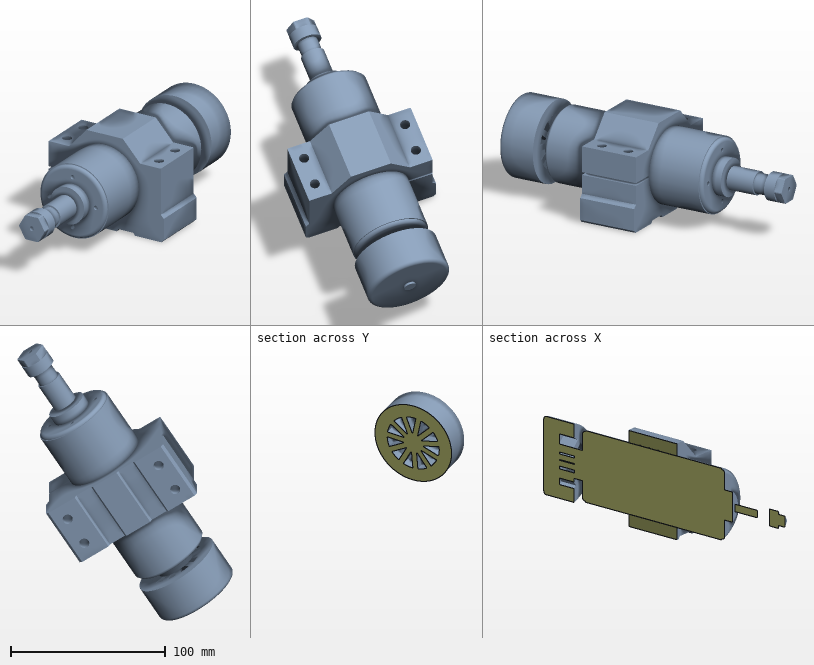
import cadquery as cq
import math


housing_diameter = 52.0
housing_front = 50.4
housing_length = 119.0
housing_back = housing_front + housing_length
end_lip_diameter = 50.5
end_fillet = 2.5
face_hole_diameter = 3.0
face_hole_depth = 6.0
face_hole_count = 4
face_hole_circle_radius = 17.7
collar_diameter = 26.0
collar_length = 6.7

head_diameter = 19.3
hex_across_flats = 17.0
hex_corner_diameter = hex_across_flats / math.cos(math.pi / 6)
hex_length = 5.5
head_length = 7.7
neck_diameter = 13.8
neck_back = 22.7
barrel_diameter = 16.0
barrel_back = 42.2
relief_diameter = 9.5
nose_hole_diameter = 3.0
nose_hole_depth = 6.0

overall_length = 203.0
pulley_diameter = 56.5
pulley_front = housing_back + collar_length
pulley_fillet = 2.5
stub_diameter = 8.0
stub_length = 1.5
pulley_back = overall_length - stub_length
spoke_count = 11
spoke_width = 4.0
pocket_circle_diameter = 37.8
pocket_depth = 12.2
first_pocket_angle = 94.8

block_length = 40.6
block_front = 90.0
block_height = 66.5
block_top = block_height / 2
block_bottom = -block_height / 2
base_half_width = 90.0 / 2
upper_half_width = 42.6
crown_half_width = 13.8
crown_foot_half_width = 27.0
shoulder_height = 18.7
base_edge_height = -16.2
base_ledge = base_half_width - upper_half_width
bottom_chamfer = 1.8
slit_width = 1.8
bolt_hole_diameter = 6.5
bolt_spacing_x = 69.9
bolt_spacing_y = 20.0
groove_center = 16.0
groove_mouth_width = 13.8
groove_floor_width = 11.4
groove_depth = 1.8


def disc(diameter, y_start, y_end):
    """Cylinder on the Y axis between two stations."""
    face_plane = cq.Workplane("XZ", origin=(0, y_start, 0))
    return face_plane.circle(diameter / 2).extrude(y_start - y_end)


def make_housing():
    """Round housing with a small step and a fillet at each end, and a collar beyond each end."""
    lip = disc(end_lip_diameter, housing_front, housing_back)
    lip = lip.faces("<Y or >Y").edges().fillet(end_fillet)
    barrel = disc(housing_diameter, housing_front + end_fillet, housing_back - end_fillet)
    collars = disc(collar_diameter, housing_front - collar_length, pulley_front)
    face_holes = (
        cq.Workplane("XZ", origin=(0, housing_front, 0))
        .polarArray(face_hole_circle_radius, 0, 360, face_hole_count)
        .circle(face_hole_diameter / 2)
        .extrude(-face_hole_depth)
    )
    return barrel.union(lip).union(collars).cut(face_holes)


def make_nose():
    """Stepped shaft ending in a hexagonal tip with rounded corners and a centre hole."""
    head_back = hex_length + head_length
    hexagon = cq.Workplane("XZ").polygon(6, hex_corner_diameter).extrude(-hex_length)
    hexagon = hexagon.intersect(disc(head_diameter, 0, hex_length))
    nose = hexagon.union(disc(head_diameter, hex_length, head_back))
    nose = nose.union(disc(neck_diameter, head_back, neck_back))
    nose = nose.union(disc(barrel_diameter, neck_back, barrel_back))
    nose = nose.union(disc(relief_diameter, barrel_back, housing_front))
    return nose.cut(disc(nose_hole_diameter, 0, nose_hole_depth))


def make_pulley_pocket(center_angle):
    """Wedge-shaped pocket between two straight spokes, closed outside by an arc."""

    def polar(radius, angle):
        return (radius * math.cos(angle), radius * math.sin(angle))

    outer_radius = pocket_circle_diameter / 2
    half_pitch = math.pi / spoke_count
    apex_radius = spoke_width / 2 / math.sin(half_pitch)
    half_sweep = half_pitch - math.asin(spoke_width / 2 / outer_radius)
    return (
        cq.Workplane("XZ", origin=(0, pulley_front, 0))
        .moveTo(*polar(apex_radius, center_angle))
        .lineTo(*polar(outer_radius, center_angle - half_sweep))
        .threePointArc(polar(outer_radius, center_angle), polar(outer_radius, center_angle + half_sweep))
        .close()
        .extrude(-pocket_depth)
    )


def make_pulley():
    """Pulley with a rounded back rim, a ring of front pockets and a stub at the back."""
    pulley = disc(pulley_diameter, pulley_front, pulley_back)
    pulley = pulley.faces(">Y").edges().fillet(pulley_fillet)
    for index in range(spoke_count):
        angle = math.radians(first_pocket_angle + index * 360 / spoke_count)
        pulley = pulley.cut(make_pulley_pocket(angle))
    return pulley.union(disc(stub_diameter, pulley_back, overall_length))


def make_clamp_block():
    """Clamp block with a bore for the housing, a slit on the -X side and four bolt holes."""
    right_side = [
        (crown_half_width, block_top),
        (crown_foot_half_width, shoulder_height),
        (upper_half_width, shoulder_height),
        (upper_half_width, base_edge_height + base_ledge),
        (base_half_width, base_edge_height),
        (base_half_width, block_bottom + bottom_chamfer),
        (base_half_width - bottom_chamfer, block_bottom),
        (groove_center + groove_mouth_width / 2, block_bottom),
        (groove_center + groove_floor_width / 2, block_bottom + groove_depth),
        (groove_center - groove_floor_width / 2, block_bottom + groove_depth),
        (groove_center - groove_mouth_width / 2, block_bottom),
    ]
    left_side = [(-x, z) for x, z in reversed(right_side)]
    end_plane = cq.Workplane("XZ", origin=(0, block_front, 0))
    block = end_plane.polyline(right_side + left_side).close().extrude(-block_length)
    bore = disc(housing_diameter, block_front, block_front + block_length)
    slit = (
        end_plane.center(-base_half_width / 2, 0)
        .rect(base_half_width, slit_width)
        .extrude(-block_length)
    )
    bolt_holes = (
        cq.Workplane("XY", origin=(0, block_front + block_length / 2, block_bottom))
        .rarray(bolt_spacing_x, bolt_spacing_y, 2, 2)
        .circle(bolt_hole_diameter / 2)
        .extrude(block_height)
    )
    return block.cut(bore).cut(slit).cut(bolt_holes)


spindle = make_housing().union(make_nose()).union(make_pulley())
clamp_block = make_clamp_block()

result = cq.Compound.makeCompound([spindle.solids().val(), clamp_block.solids().val()])